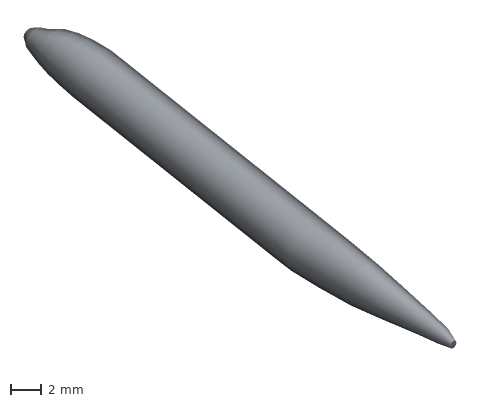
import cadquery as cq

length = 40.95
body_width = 4.05
body_half_width = body_width / 2
body_height = 3.95
body_half_height = body_height / 2

nose_sections = [
    (0.0, -0.8, -0.5, 0.15),
    (0.12, -1.1, -0.2, 0.45),
    (0.5, -1.3, 0.1, 0.7),
    (0.75, -1.47, 0.2, 0.85),
    (1.35, -1.6, 0.45, 1.1),
    (2.2, -1.75, 1.2, 1.47),
    (3.2, -1.9, 1.55, 1.7),
    (4.42, -1.95, 1.85, 1.9),
]
body_sections = [
    (x, -body_half_width, body_half_width, body_half_height)
    for x in (5.8, 6.8, 26.3)
]
tail_sections = [
    (27.65, -2.0, body_half_width, body_half_height),
    (29.98, -1.68, 2.0, 1.92),
    (32.68, -1.23, 1.95, 1.75),
    (34.9, -0.75, 1.92, 1.4),
    (38.25, 0.12, 1.8, 0.85),
    (39.85, 0.5, 1.68, 0.6),
    (length, 0.8, 1.35, 0.33),
]


def section_wire(x, low_y, high_y, half_height):
    """Elliptical outline in the plane normal to X."""
    half_width = (high_y - low_y) / 2
    center = cq.Vector(x, (low_y + high_y) / 2, 0)
    section_plane = cq.Plane(origin=center, xDir=(0, 1, 0), normal=(1, 0, 0))
    return cq.Workplane(section_plane).ellipse(half_width, half_height).wires().val()


sections = nose_sections + body_sections + tail_sections
wires = [section_wire(*section) for section in sections]
result = cq.Workplane(obj=cq.Solid.makeLoft(wires, True))